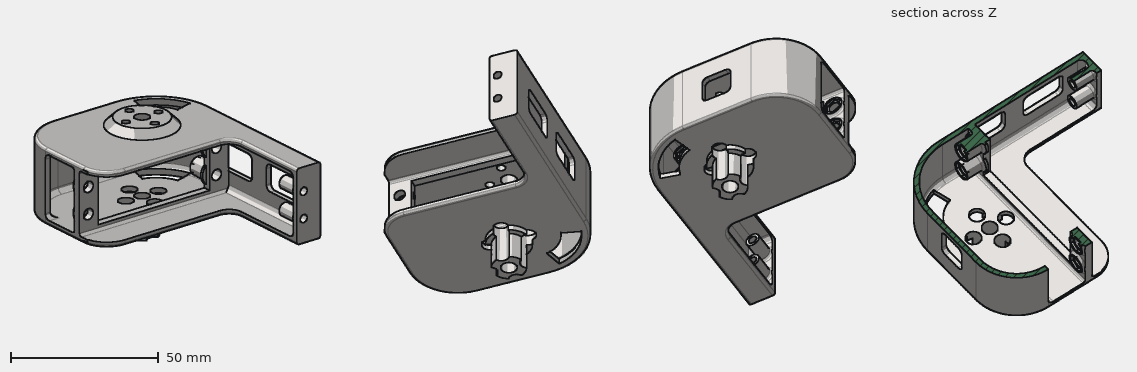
import cadquery as cq
import math


pivot_to_left = 22.0
pivot_to_back = 28.05
length = 84.0
depth = 66.0
height = 28.0
box_width = 48.3
arm_depth = 10.2
back_left_radius = pivot_to_left
front_left_radius = 17.5
front_right_radius = 10.0
inner_corner_radius = 5.0
rim_fillet = 1.0

left = -pivot_to_left
right = left + length
box_right = left + box_width
back = pivot_to_back
front = back - depth
arm_front = back - arm_depth
mid_height = height / 2

wall = 2.0
cavity_fillet = 2.0
ceiling = height - wall
inner_left = left + wall
inner_right = right - wall
inner_back = back - wall
jamb_x = left + front_left_radius
overrun = 4.2
pick = 0.1

mid_wall_left = 11.25
mid_wall_thickness = 2.9
mid_wall_right = mid_wall_left + mid_wall_thickness
mid_wall_fillet = 1.0
mid_window_margin = 8.15
mid_window_sill = 2 * wall

window_corner_radius = 2.0
back_window_length = 17.0
back_window_height = 10.0
back_window_centers = (18.5, 43.35)
side_window_size = 11.0
side_window_y = (front + front_left_radius + back - back_left_radius) / 2

boss_spacing = 10.0
boss_heights = (mid_height - boss_spacing / 2, mid_height + boss_spacing / 2)
boss_fillet = 1.0
screw_hole = 2.9
arm_boss_diameter = 5.0
arm_boss_length = 8.2
arm_boss_y = arm_front + 2.9
nut_boss_diameter = 7.0
front_boss_length = 1.1
front_boss_y = front + 3.9
rear_boss_length = 7.1
rear_boss_y = arm_boss_y
nut_across_flats = 5.5
nut_depth = 1.0
nut_screw_hole = 4.0

disc_height = 3.0
disc_top_radius = 10.0
disc_base_radius = disc_top_radius + disc_height
flange_radius = 8.0
flange_height = 2.0
shaft_radius = 6.0
shaft_length = 12.0
bore_diameter = 5.55
screw_offset = 7.0
screw_access = 5.55

slot_inner_radius = 12.0
slot_outer_radius = 19.0
slot_start_angle = 105
slot_end_angle = 165


def block(x0, x1, y0, y1, z0, z1):
    """Box between two limits on each axis."""
    return cq.Workplane("XY").box(x1 - x0, y1 - y0, z1 - z0, centered=False).translate((x0, y0, z0))


def rod(x0, x1, y, z, diameter):
    """Cylinder along X."""
    return cq.Workplane("YZ", origin=(x0, y, z)).circle(diameter / 2).extrude(x1 - x0)


def vertical_edge(x, y):
    """Selector for the upright edge at (x, y)."""
    return cq.selectors.BoxSelector((x - pick, y - pick, 0), (x + pick, y + pick, height))


def housing_block():
    """Solid box with an arm along its back; every rim is rounded except at the arm's end."""
    body = block(left, box_right, front, back, 0, height)
    body = body.union(block(left, right, arm_front, back, 0, height))
    corners = (
        (left, back, back_left_radius),
        (left, front, front_left_radius),
        (box_right, front, front_right_radius),
        (box_right, arm_front, inner_corner_radius),
    )
    for x, y, radius in corners:
        body = body.edges(vertical_edge(x, y)).fillet(radius)
    return body.faces("<Z or >Z").edges("not(>X)").fillet(rim_fillet)


def cavity():
    """Hollow behind the outer walls, open to the front and to the box's right side."""
    inner_front = front + wall
    back_radius = back_left_radius - wall
    front_radius = front_left_radius - wall
    diagonal = math.sqrt(0.5)
    front_arc_middle = (jamb_x - front_radius * diagonal, inner_front + front_radius * (1 - diagonal))
    back_arc_middle = (inner_left + back_radius * (1 - diagonal), inner_back - back_radius * (1 - diagonal))
    space = (
        cq.Workplane("XY", origin=(0, 0, wall))
        .moveTo(jamb_x, front - overrun)
        .lineTo(jamb_x, inner_front)
        .threePointArc(front_arc_middle, (inner_left, inner_front + front_radius))
        .lineTo(inner_left, inner_back - back_radius)
        .threePointArc(back_arc_middle, (inner_left + back_radius, inner_back))
        .lineTo(inner_right, inner_back)
        .lineTo(inner_right, front - overrun)
        .close()
        .extrude(ceiling - wall)
    )
    space = space.edges(vertical_edge(inner_right, inner_back)).fillet(cavity_fillet)
    return space.faces("<Z or >Z").edges("not(<Y)").fillet(cavity_fillet)


def middle_wall():
    """Wall along Y with rounded roots at the floor and ceiling, pierced by a wide window."""
    slab = block(mid_wall_left - overrun, mid_wall_right + overrun, front, inner_back + wall / 2,
                 wall / 2, ceiling + wall / 2)
    for x0 in (mid_wall_left - 2 * overrun, mid_wall_right):
        side = block(x0, x0 + 2 * overrun, front - overrun, back, wall, ceiling)
        slab = slab.cut(side.edges("|Y").fillet(mid_wall_fillet))
    window = block(mid_wall_left, mid_wall_right, front + mid_window_margin,
                   inner_back - mid_window_margin, mid_window_sill, height - mid_window_sill)
    return slab.cut(window)


def outer_windows():
    """Cutters for two windows through the back wall and one through the left wall."""
    z0 = mid_height - back_window_height / 2
    cutters = cq.Workplane("XY")
    for x in back_window_centers:
        x0 = x - back_window_length / 2
        window = block(x0, x0 + back_window_length, inner_back, back + overrun,
                       z0, z0 + back_window_height)
        cutters = cutters.add(window.edges("|Y").fillet(window_corner_radius))
    half = side_window_size / 2
    window = block(left - overrun, inner_left, side_window_y - half, side_window_y + half,
                   mid_height - half, mid_height + half)
    return cutters.add(window.edges("|X").fillet(window_corner_radius)).combine()


def boss(wall_face, y, z, diameter, boss_length, front_face):
    """Boss along -X from a wall face; its flared root is trimmed flush with the front face."""
    radius = diameter / 2
    bend = boss_fillet * (1 - math.sqrt(0.5))
    root = wall_face + wall / 2
    profile = (
        cq.Workplane("XY")
        .moveTo(wall_face - boss_length, 0)
        .lineTo(wall_face - boss_length, radius)
        .lineTo(wall_face - boss_fillet, radius)
        .threePointArc((wall_face - bend, radius + bend), (wall_face, radius + boss_fillet))
        .lineTo(root, radius + boss_fillet)
        .lineTo(root, 0)
        .close()
    )
    solid = profile.revolve(360, (0, 0, 0), (1, 0, 0)).translate((0, y, z))
    return solid.intersect(block(wall_face - boss_length, root, front_face, back, 0, height))


def add_arm_bosses(body):
    """Pair of bosses on the arm's end wall, drilled through."""
    tip = inner_right - arm_boss_length
    for z in boss_heights:
        body = body.union(boss(inner_right, arm_boss_y, z, arm_boss_diameter, arm_boss_length, arm_front))
        body = body.cut(rod(tip, right, arm_boss_y, z, screw_hole))
    return body


def add_nut_bosses(body, y, boss_length):
    """Pair of bosses on the middle wall, each with a hexagonal nut recess and a screw hole."""
    tip = mid_wall_left - boss_length
    for z in boss_heights:
        body = body.union(boss(mid_wall_left, y, z, nut_boss_diameter, boss_length, front))
        body = body.cut(rod(tip, mid_wall_right, y, z, nut_screw_hole))
        nut = (
            cq.Workplane("YZ", origin=(tip, y, z))
            .transformed(rotate=(0, 0, 90))
            .polygon(6, nut_across_flats / math.cos(math.pi / 6))
            .extrude(nut_depth)
        )
        body = body.cut(nut)
    return body


def add_pivot(body):
    """Conical disc on top, flanged shaft below, a bore through both and four screw holes around it.

    The holes are wider below, where they give access to the screws and notch the flange and shaft.
    """
    disc = (
        cq.Workplane("XY", origin=(0, 0, height))
        .circle(disc_base_radius)
        .workplane(offset=disc_height)
        .circle(disc_top_radius)
        .loft()
    )
    flange = cq.Workplane("XY").circle(flange_radius).extrude(-flange_height)
    shaft = cq.Workplane("XY").circle(shaft_radius).extrude(-shaft_length)
    body = body.union(disc).union(flange).union(shaft)
    screws = cq.Workplane("XY", origin=(0, 0, mid_height)).polarArray(screw_offset, 0, 360, 4)
    upper_holes = screws.circle(screw_hole / 2).extrude(height)
    lower_holes = screws.circle(screw_access / 2).extrude(-height)
    bore = cq.Workplane("XY", origin=(0, 0, -shaft_length)).circle(bore_diameter / 2).extrude(2 * height)
    return body.cut(upper_holes).cut(lower_holes).cut(bore)


def curved_slot():
    """Cutter for the ring segment through both the deck and the floor."""
    def ring_point(radius, angle):
        turn = math.radians(angle)
        return (radius * math.cos(turn), radius * math.sin(turn))

    middle_angle = (slot_start_angle + slot_end_angle) / 2
    inner_start = ring_point(slot_inner_radius, slot_start_angle)
    outer_end = ring_point(slot_outer_radius, slot_end_angle)
    return (
        cq.Workplane("XY", origin=(0, back - back_left_radius, -overrun))
        .moveTo(*inner_start)
        .lineTo(*ring_point(slot_outer_radius, slot_start_angle))
        .threePointArc(ring_point(slot_outer_radius, middle_angle), outer_end)
        .lineTo(*ring_point(slot_inner_radius, slot_end_angle))
        .threePointArc(ring_point(slot_inner_radius, middle_angle), inner_start)
        .close()
        .extrude(height + 2 * overrun)
    )


result = housing_block().cut(cavity()).union(middle_wall())
result = result.cut(outer_windows()).cut(curved_slot())
result = add_arm_bosses(result)
result = add_nut_bosses(result, front_boss_y, front_boss_length)
result = add_nut_bosses(result, rear_boss_y, rear_boss_length)
result = add_pivot(result)